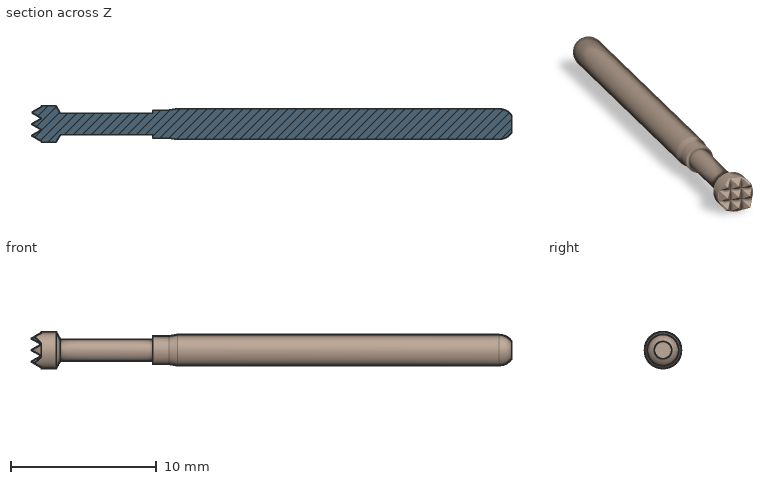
import cadquery as cq
import math

total_length = 33.02

head_diameter = 2.55
head_back = 1.72
head_cone_angle = 60.0
tip_pitch = 0.8
groove_angle = 60.0

stem_radius = 0.75
collar_start = 8.35
collar_end = 9.45
collar_diameter = 1.95
barrel_start = 10.05
barrel_diameter = 2.15
tail_length = 0.9
tail_end_radius = 0.6

head_radius = head_diameter / 2
collar_radius = collar_diameter / 2
barrel_radius = barrel_diameter / 2
head_cone_length = (head_radius - stem_radius) / math.tan(math.radians(head_cone_angle))
groove_half_width = tip_pitch / 2
groove_depth = groove_half_width / math.tan(math.radians(groove_angle / 2))
tail_start = total_length - tail_length

tail_drop = barrel_radius - tail_end_radius
tail_arc_radius = (tail_length**2 + tail_drop**2) / (2 * tail_drop)
tail_half_angle = math.asin(tail_length / tail_arc_radius) / 2
tail_arc_middle = (
    tail_start + tail_arc_radius * math.sin(tail_half_angle),
    barrel_radius - tail_arc_radius * (1 - math.cos(tail_half_angle)),
)


def turned_body():
    """Head, stem, collar and barrel revolved about the X axis."""
    return (
        cq.Workplane("XY")
        .moveTo(0, 0)
        .lineTo(0, head_radius)
        .lineTo(head_back, head_radius)
        .lineTo(head_back + head_cone_length, stem_radius)
        .lineTo(collar_start, stem_radius)
        .lineTo(collar_start, collar_radius)
        .lineTo(collar_end, collar_radius)
        .lineTo(barrel_start, barrel_radius)
        .lineTo(tail_start, barrel_radius)
        .threePointArc(tail_arc_middle, (total_length, tail_end_radius))
        .lineTo(total_length, 0)
        .close()
        .revolve(360, (0, 0, 0), (1, 0, 0))
    )


def crown_cutter(plane):
    """Two V grooves and two outer bevels that leave three ridges across the head."""
    cutter = cq.Workplane(plane)
    for side in (-1, 1):
        outer_tip = side * tip_pitch
        outer_valley = outer_tip + side * groove_half_width
        outside = side * 2 * head_radius
        groove = [(0, 0), (groove_depth, side * groove_half_width), (0, outer_tip)]
        bevel = [(0, outer_tip), (groove_depth, outer_valley), (groove_depth, outside), (0, outside)]
        for outline in (groove, bevel):
            cutter = cutter.polyline(outline).close()
    return cutter.extrude(2 * head_radius, both=True)


result = turned_body()
for plane in ("XY", "XZ"):
    result = result.cut(crown_cutter(plane))